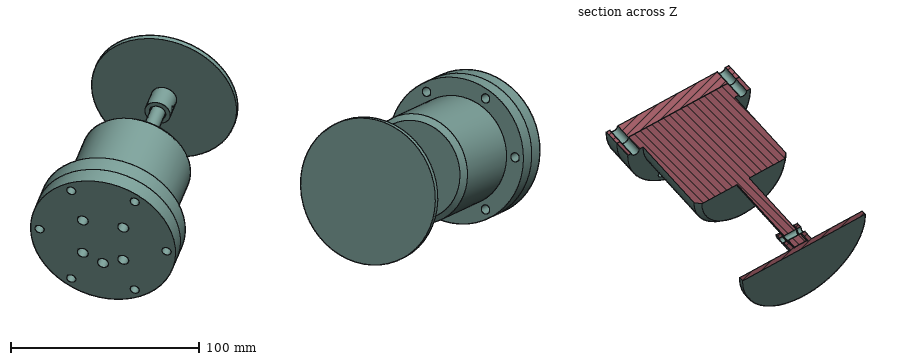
import cadquery as cq
import math


total_length = 126.0
flange_diameter = 80.0
plate_thickness = 10.0
flange_thickness = 10.0
barrel_diameter = 60.0
barrel_length = 50.0
barrel_chamfer = 3.0

rod_diameter = 8.0
disc_diameter = flange_diameter
disc_thickness = 3.0
hub_diameter = 14.0
hub_length = 13.0
hub_bore_diameter = 9.0
pin_hole_diameter = 3.5
pin_hole_from_disc = 8.0

bolt_hole_diameter = 5.0
bolt_hole_count = 6
bolt_circle_radius = 35.0
bolt_angles = [i * 360 / bolt_hole_count for i in range(bolt_hole_count)]

port_diameter = 6.0
port_circle_radius = 15.75
port_angles = [45, 135, 225, 270, 315]

plate_front = 0.0
flange_front = plate_front + plate_thickness
barrel_front = flange_front + flange_thickness
barrel_end = barrel_front + barrel_length
disc_front = total_length - disc_thickness
hub_front = disc_front - hub_length
pin_hole_station = disc_front - pin_hole_from_disc


def cylinder(diameter, start, end, x=0.0, z=0.0):
    """Cylinder parallel to Y, from y = start to y = end."""
    base = cq.Vector(x, start, z)
    return cq.Workplane(cq.Solid.makeCylinder(diameter / 2, end - start, base, cq.Vector(0, 1, 0)))


def cross_pin_hole():
    """Cutter along X for the pin hole shared by the hub and the rod."""
    start = cq.Vector(-hub_diameter / 2, pin_hole_station, 0)
    return cq.Workplane(cq.Solid.makeCylinder(pin_hole_diameter / 2, hub_diameter, start, cq.Vector(1, 0, 0)))


def cut_holes(body, diameter, circle_radius, angles, start, end):
    """Cut holes parallel to Y at the given angles, counted from +X towards +Z."""
    for angle in angles:
        x = circle_radius * math.cos(math.radians(angle))
        z = circle_radius * math.sin(math.radians(angle))
        body = body.cut(cylinder(diameter, start, end, x, z))
    return body


def make_base_plate():
    """Round plate with a ring of bolt holes and five inner holes."""
    plate = cylinder(flange_diameter, plate_front, flange_front)
    plate = cut_holes(plate, bolt_hole_diameter, bolt_circle_radius, bolt_angles, plate_front, flange_front)
    return cut_holes(plate, port_diameter, port_circle_radius, port_angles, plate_front, flange_front)


def make_housing():
    """Flanged barrel with a chamfered end and a cross-drilled rod that reaches the disc through its hub."""
    barrel = cylinder(barrel_diameter, flange_front, barrel_end)
    barrel = barrel.faces(">Y").chamfer(barrel_chamfer)
    flange = cylinder(flange_diameter, flange_front, barrel_front)
    flange = cut_holes(flange, bolt_hole_diameter, bolt_circle_radius, bolt_angles, flange_front, barrel_front)
    rod = cylinder(rod_diameter, barrel_end, disc_front).cut(cross_pin_hole())
    return barrel.union(flange).union(rod)


def make_disc():
    """Disc with a hub, bored with clearance around the rod and cross drilled for a pin."""
    disc = cylinder(disc_diameter, disc_front, total_length)
    hub = cylinder(hub_diameter, hub_front, disc_front)
    bore = cylinder(hub_bore_diameter, hub_front, disc_front)
    return disc.union(hub).cut(bore).cut(cross_pin_hole())


base_plate = make_base_plate()
housing = make_housing()
disc = make_disc()

result = cq.Compound.makeCompound([base_plate.val(), housing.val(), disc.val()])